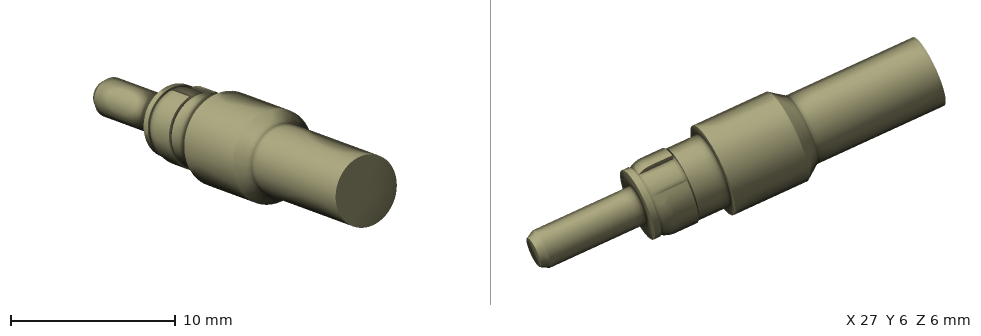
import cadquery as cq
import math

total_length = 27.0
tip_chamfer_length = 0.5
collar_start = 7.1
groove_start = 7.53
groove_end = 10.12
shoulder_start = 12.25
shoulder_end = 17.3
barrel_start = 18.28

tip_radius = 1.95 / 2
pin_radius = 2.5 / 2
collar_radius = 4.65 / 2
groove_radius = 4.4 / 2
sleeve_radius = 4.8 / 2
shoulder_radius = 6.0 / 2
barrel_radius = 4.6 / 2

ring_radius = 5.02 / 2
ring_nose_end = 8.5
ring_front_clearance = 0.05
ring_rear_clearance = 0.14
ring_start = groove_start + ring_front_clearance
ring_end = groove_end - ring_rear_clearance
ring_gap_angle = 46.0


def revolve_about_x(outline):
    """Turn a closed (x, radius) outline into a full solid about the X axis."""
    return cq.Workplane("XY").polyline(outline).close().revolve(360, (0, 0, 0), (1, 0, 0))


def make_body():
    """Pin, front collar, ring groove, sleeve, shoulder and rear barrel."""
    return revolve_about_x([
        (0, 0),
        (0, tip_radius),
        (tip_chamfer_length, pin_radius),
        (collar_start, pin_radius),
        (collar_start, collar_radius),
        (groove_start, collar_radius),
        (groove_start, groove_radius),
        (groove_end, groove_radius),
        (groove_end, sleeve_radius),
        (shoulder_start, sleeve_radius),
        (shoulder_start, shoulder_radius),
        (shoulder_end, shoulder_radius),
        (barrel_start, barrel_radius),
        (total_length, barrel_radius),
        (total_length, 0),
    ])


def make_ring_gap():
    """Wedge with its point on the X axis that opens the ring toward +Z."""
    wedge_height = 2 * ring_radius
    wedge_half_width = wedge_height * math.tan(math.radians(ring_gap_angle / 2))
    return (
        cq.Workplane("YZ", origin=(groove_start, 0, 0))
        .polyline([(0, 0), (wedge_half_width, wedge_height), (-wedge_half_width, wedge_height)])
        .close()
        .extrude(groove_end - groove_start)
    )


def make_ring():
    """C-shaped ring whose nose curves smoothly up from the groove floor."""
    nose_length = ring_nose_end - ring_start
    nose_rise = ring_radius - groove_radius
    nose_arc_radius = (nose_length**2 + nose_rise**2) / (2 * nose_rise)
    nose_half_angle = math.asin(nose_length / nose_arc_radius) / 2
    nose_midpoint = (
        ring_nose_end - nose_arc_radius * math.sin(nose_half_angle),
        ring_radius - nose_arc_radius * (1 - math.cos(nose_half_angle)),
    )
    ring = (
        cq.Workplane("XY")
        .moveTo(ring_start, 0)
        .lineTo(ring_start, groove_radius)
        .threePointArc(nose_midpoint, (ring_nose_end, ring_radius))
        .lineTo(ring_end, ring_radius)
        .lineTo(ring_end, 0)
        .close()
        .revolve(360, (0, 0, 0), (1, 0, 0))
    )
    return ring.cut(make_ring_gap())


result = make_body().union(make_ring())